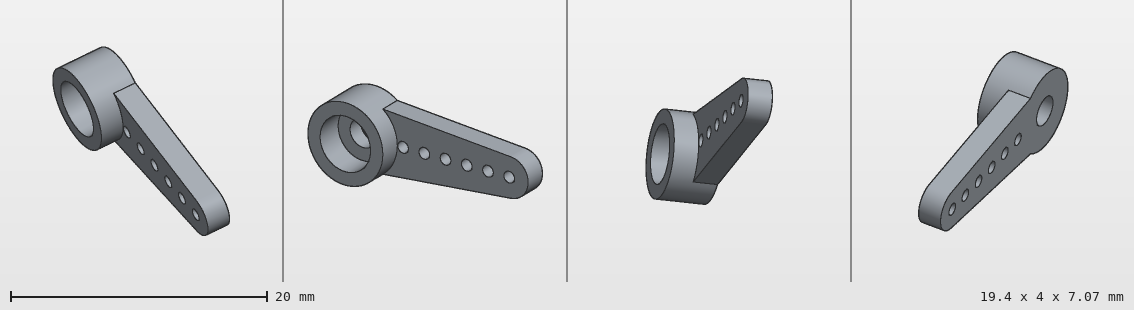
import cadquery as cq
import math

hub_diameter = 7.07
hub_length = 4.0
socket_diameter = 4.75
socket_depth = 2.5
screw_hole_diameter = 2.5

overall_length = 19.4
arm_thickness = 2.0
tip_radius = 1.785
arm_taper_angle = 4.8

link_hole_diameter = 1.0
link_hole_pitch = 2.0
link_hole_count = 6

hub_radius = hub_diameter / 2
tip_center_x = overall_length - hub_radius - tip_radius
back_y = hub_length / 2
front_y = -hub_length / 2


def plane_at(y):
    """XZ sketch plane at the given Y; positive extrusion runs toward -Y."""
    return cq.Workplane("XZ", origin=(0, y, 0))


def make_hub():
    return plane_at(back_y).circle(hub_radius).extrude(hub_length)


def make_arm():
    taper = math.radians(arm_taper_angle)
    tangent_x = tip_center_x + tip_radius * math.sin(taper)
    tangent_z = tip_radius * math.cos(taper)
    root_z = tangent_z + tangent_x * math.tan(taper)
    return (
        plane_at(back_y)
        .moveTo(0, -root_z)
        .lineTo(tangent_x, -tangent_z)
        .threePointArc((tip_center_x + tip_radius, 0), (tangent_x, tangent_z))
        .lineTo(0, root_z)
        .close()
        .extrude(arm_thickness)
    )


def make_hub_bore():
    screw_hole = plane_at(back_y).circle(screw_hole_diameter / 2).extrude(hub_length)
    socket = plane_at(front_y).circle(socket_diameter / 2).extrude(-socket_depth)
    return screw_hole.union(socket)


def make_link_holes():
    centers = [(tip_center_x - i * link_hole_pitch, 0) for i in range(link_hole_count)]
    return plane_at(back_y).pushPoints(centers).circle(link_hole_diameter / 2).extrude(arm_thickness)


result = make_hub().union(make_arm()).cut(make_hub_bore()).cut(make_link_holes())